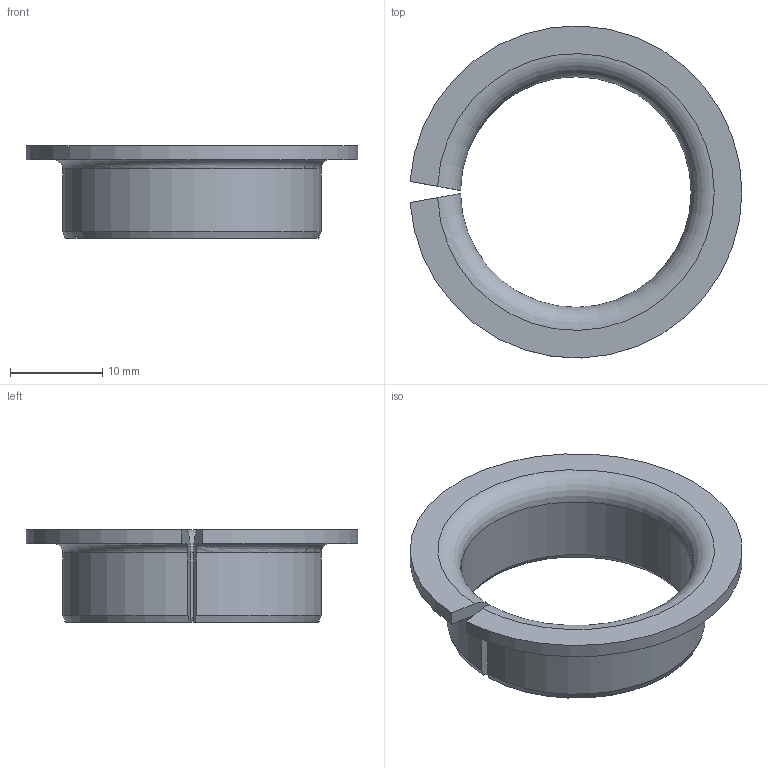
import cadquery as cq
import math

HEIGHT = 10.0
BORE_RADIUS = 12.5
WALL = 1.5
FLANGE_RADIUS = 18.0
FLANGE_THICKNESS = WALL
MOUTH_RADIUS = 2.5
NECK_RADIUS = MOUTH_RADIUS - WALL
LEAD_IN_HEIGHT = 0.7
LEAD_IN_ANGLE = math.radians(20)
BORE_CHAMFER_HEIGHT = 0.5
BORE_CHAMFER_ANGLE = math.radians(30)
SLIT_HALF_ANGLE = math.radians(10)
SLIT_APEX_INSET = 1.0
SLIT_OVERRUN = 1.0

SLEEVE_RADIUS = BORE_RADIUS + WALL
FLANGE_UNDERSIDE = HEIGHT - FLANGE_THICKNESS
LEAD_IN_DEPTH = LEAD_IN_HEIGHT * math.tan(LEAD_IN_ANGLE)
BORE_CHAMFER_DEPTH = BORE_CHAMFER_HEIGHT * math.tan(BORE_CHAMFER_ANGLE)


def bend_middle(center_x, center_z, radius):
    """Middle of the quarter arc on the inner, upper side of the bend centre."""
    offset = radius * math.sqrt(0.5)
    return (center_x - offset, center_z + offset)


def make_ring():
    """Revolve the wall section, drawn as (radius, height), about the Z axis.

    The section starts on the -X side, so the seam of the revolve falls in the slit.
    """
    bend_center_x = SLEEVE_RADIUS + NECK_RADIUS
    bend_center_z = FLANGE_UNDERSIDE - NECK_RADIUS
    section = (
        cq.Workplane(cq.Plane(origin=(0, 0, 0), xDir=(-1, 0, 0), normal=(0, 1, 0)))
        .moveTo(BORE_RADIUS + BORE_CHAMFER_DEPTH, 0)
        .lineTo(SLEEVE_RADIUS - LEAD_IN_DEPTH, 0)
        .lineTo(SLEEVE_RADIUS, LEAD_IN_HEIGHT)
        .lineTo(SLEEVE_RADIUS, bend_center_z)
        .threePointArc(
            bend_middle(bend_center_x, bend_center_z, NECK_RADIUS),
            (bend_center_x, FLANGE_UNDERSIDE),
        )
        .lineTo(FLANGE_RADIUS, FLANGE_UNDERSIDE)
        .lineTo(FLANGE_RADIUS, HEIGHT)
        .lineTo(bend_center_x, HEIGHT)
        .threePointArc(
            bend_middle(bend_center_x, bend_center_z, MOUTH_RADIUS),
            (BORE_RADIUS, bend_center_z),
        )
        .lineTo(BORE_RADIUS, BORE_CHAMFER_HEIGHT)
        .close()
    )
    return section.revolve(360, (0, 0, 0), (0, 1, 0))


def make_slit():
    """Wedge that opens outward towards -X through the full height."""
    slope = math.tan(SLIT_HALF_ANGLE)
    apex_x = -BORE_RADIUS + SLIT_APEX_INSET
    mouth_x = -FLANGE_RADIUS - SLIT_OVERRUN
    mouth_half_width = (apex_x - mouth_x) * slope
    return (
        cq.Workplane("XY")
        .polyline([
            (apex_x, 0),
            (mouth_x, mouth_half_width),
            (mouth_x, -mouth_half_width),
        ])
        .close()
        .extrude(HEIGHT)
    )


result = make_ring().cut(make_slit())